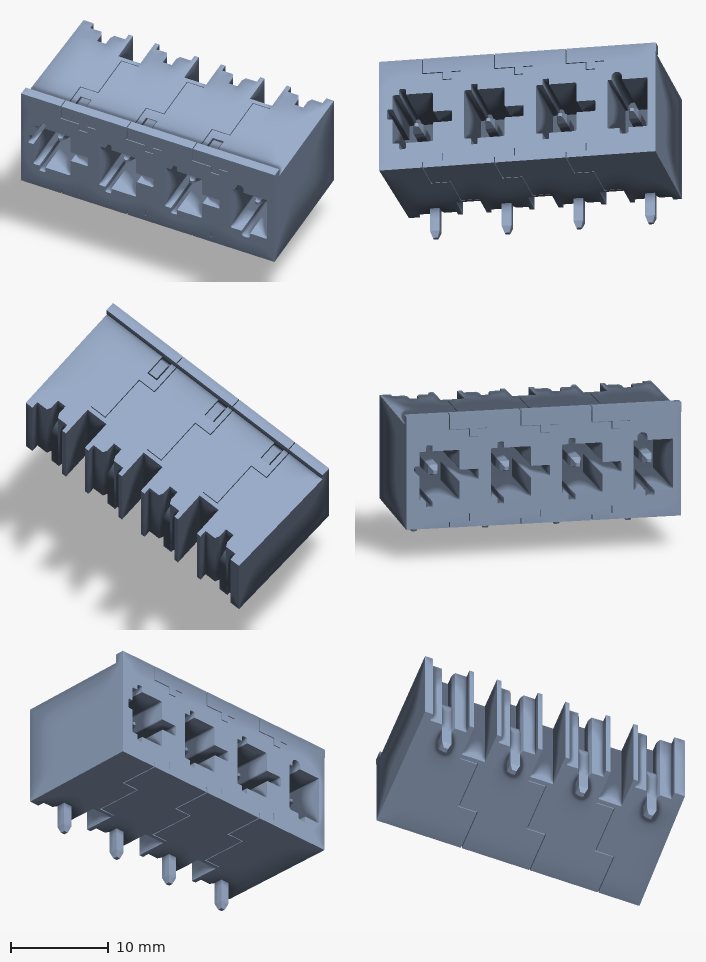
import cadquery as cq
LENGTH = 28.9
MODULES = 4
CONTACT_X = 3.5
LAST_CONTACT_X = 25.98
PITCH = (LAST_CONTACT_X - CONTACT_X) / (MODULES - 1)
DEPTH = 14.0
BODY_HEIGHT = 10.92
FLANGE_HEIGHT = 11.95
FLANGE_DEPTH = 1.05
END_SETBACK = 0.043
END_TAPER = 0.35
SPLIT_X = 8.5

TONGUE_X = 4.6
TONGUE_STEP_X = 6.62
TONGUE_STEP_Y = 4.55
TONGUE_BACK_Y = 9.97
TOP_TONGUE_Z = 10.35
LOW_TONGUE_Z = 0.6
END_GAP = 0.1
GAP = 0.1
KEY_X0, KEY_X1 = 6.68, 7.55
KEY_HEIGHT = 0.8

WINDOW_X0, WINDOW_X1 = 5.17, 6.45
WINDOW_BACK_Y = 3.27
LAST_WINDOW_BACK_Y = 3.45
LATCH_X0, LATCH_X1 = 5.35, 6.35
LATCH_Y0, LATCH_Y1 = 1.35, 3.27
LATCH_TOP_Z = 10.85

NOTCH_X0 = 5.98
NOTCH_Y = 10.52
RECESS_WIDTH = 4.0
RECESS_DEPTH = 0.8
FUNNEL_WIDTH = 1.47

PIN_SIZE = 1.0
PIN_LEG_Y = 12.2
PIN_Z = 5.45
PIN_FRONT_Y = 1.97
PIN_BOTTOM_Z = -3.15
BEND_RADIUS = 1.6
TIP_LENGTH = 1.15
TIP_WIDTH, TIP_HEIGHT = 0.45, 0.35
NOSE_RISE = 0.15
LEG_TIP_LENGTH = 0.7
LEG_TIP_SIZE = 0.5

CAVITY_DEPTH = 8.95
CAVITY_X0, CAVITY_X1 = 1.4, 5.6
CAVITY_Z0, CAVITY_Z1 = 2.83, 8.15
CORNER_RADIUS = 0.15
LAST_CAVITY_X0, LAST_CAVITY_X1 = 1.4, 5.55
LAST_CAVITY_DRAFT = 0.1
TOP_GROOVE = (2.08, 2.77, 7.22, 8.8)
BOTTOM_GROOVE = (2.08, 2.77, 2.17, 3.75)
SIDE_GROOVE = (0.8, 2.3, 5.52, 6.62)
KEY_GROOVE = (4.34, 7.6, 4.88, 6.07)
LAST_TOP_GROOVE = (1.8, 2.85, 7.22, 9.0)
LAST_BOTTOM_GROOVE = (2.63, 3.58, 2.17, 3.75)
LAST_TOP_GROOVE_RADIUS = 0.5
LAST_BOTTOM_GROOVE_RADIUS = 0.3
BOSS_BASE_RADIUS = 1.53
BOSS_TIP_RADIUS = 1.35
BOSS_LENGTH = 2.0


def box(x0, x1, y0, y1, z0, z1):
    """Axis-aligned block between the given limits."""
    return cq.Workplane("XY").box(x1 - x0, y1 - y0, z1 - z0, centered=False).translate((x0, y0, z0))


def tongue_layer(z0, z1, end_gap=0.0, gap=0.0):
    """Stepped tongue in plan, grown by the clearances to make the space for it."""
    front_x = TONGUE_X - end_gap
    step_x = TONGUE_STEP_X - gap
    step_y = TONGUE_STEP_Y + gap
    back_y = TONGUE_BACK_Y + gap
    outline = [
        (front_x, 0), (SPLIT_X, 0), (SPLIT_X, back_y), (step_x, back_y), (step_x, step_y), (front_x, step_y),
    ]
    return cq.Workplane("XY").workplane(offset=z0).polyline(outline).close().extrude(z1 - z0)


def tongue_key(z0, z1, gap=0.0):
    """Rib along a tongue that hooks into the neighbouring module."""
    return box(KEY_X0 - gap, KEY_X1, 0, TONGUE_BACK_Y + gap, z0, z1)


def tongues():
    """Upper and lower tongues with their keys, placed for the module on their left."""
    upper = tongue_layer(TOP_TONGUE_Z, BODY_HEIGHT)
    upper = upper.union(box(TONGUE_X, SPLIT_X, 0, FLANGE_DEPTH, TOP_TONGUE_Z, FLANGE_HEIGHT))
    upper = upper.union(tongue_key(TOP_TONGUE_Z - KEY_HEIGHT, TOP_TONGUE_Z))
    lower = tongue_layer(0, LOW_TONGUE_Z)
    lower = lower.union(tongue_key(LOW_TONGUE_Z, LOW_TONGUE_Z + KEY_HEIGHT))
    return upper, lower


def tongue_space():
    """Space that a module leaves free for the tongues of the next one."""
    shelf_z = TOP_TONGUE_Z - GAP
    space = tongue_layer(shelf_z, FLANGE_HEIGHT, END_GAP, GAP)
    space = space.union(tongue_key(shelf_z - KEY_HEIGHT, shelf_z, GAP))
    space = space.union(tongue_layer(0, LOW_TONGUE_Z, END_GAP, GAP))
    return space.union(tongue_key(LOW_TONGUE_Z, LOW_TONGUE_Z + KEY_HEIGHT, GAP))


def groove(limits, radius):
    """Coding groove with rounded edges along Y."""
    x0, x1, z0, z1 = limits
    return box(x0, x1, 0, CAVITY_DEPTH, z0, z1).edges("|Y").fillet(radius)


def plain_cavity(has_side_groove):
    """Straight cavity with coding grooves, for every module but the last."""
    cavity = groove((CAVITY_X0, CAVITY_X1, CAVITY_Z0, CAVITY_Z1), CORNER_RADIUS)
    for limits in (TOP_GROOVE, BOTTOM_GROOVE, KEY_GROOVE):
        cavity = cavity.union(groove(limits, CORNER_RADIUS))
    if has_side_groove:
        cavity = cavity.union(groove(SIDE_GROOVE, CORNER_RADIUS))
    key_z0, key_z1 = KEY_GROOVE[2:]
    key_mouth = cq.selectors.BoxSelector(
        (CAVITY_X1 - CORNER_RADIUS, 0, key_z0 - CORNER_RADIUS),
        (CAVITY_X1 + CORNER_RADIUS, CAVITY_DEPTH, key_z1 + CORNER_RADIUS),
    )
    return cavity.edges("|Y").edges(key_mouth).fillet(CORNER_RADIUS)


def last_cavity():
    """Cavity whose sides and floor draw in towards the back."""
    width = LAST_CAVITY_X1 - LAST_CAVITY_X0
    height = CAVITY_Z1 - CAVITY_Z0
    middle_x = (LAST_CAVITY_X0 + LAST_CAVITY_X1) / 2
    middle_z = (CAVITY_Z0 + CAVITY_Z1) / 2
    cavity = (
        cq.Workplane("XZ").center(middle_x, middle_z).rect(width, height)
        .workplane(offset=-CAVITY_DEPTH).center(0, LAST_CAVITY_DRAFT / 2)
        .rect(width - 2 * LAST_CAVITY_DRAFT, height - LAST_CAVITY_DRAFT).loft(ruled=True)
    )
    for side_x in (LAST_CAVITY_X0, LAST_CAVITY_X1):
        floor_corner = cq.selectors.NearestToPointSelector((side_x, CAVITY_DEPTH / 2, CAVITY_Z0))
        cavity = cavity.edges(floor_corner).fillet(CORNER_RADIUS)
    cavity = cavity.union(groove(LAST_TOP_GROOVE, LAST_TOP_GROOVE_RADIUS))
    return cavity.union(groove(LAST_BOTTOM_GROOVE, LAST_BOTTOM_GROOVE_RADIUS))


def boss():
    """Tapered boss standing on the cavity floor."""
    return (
        cq.Workplane("XZ", origin=(CONTACT_X, CAVITY_DEPTH, PIN_Z)).circle(BOSS_BASE_RADIUS)
        .workplane(offset=BOSS_LENGTH).circle(BOSS_TIP_RADIUS).loft()
    )


def back_recess():
    """Shallow recess with a funnel and a slot that takes the pin leg."""
    floor_y = DEPTH - RECESS_DEPTH
    half_recess = RECESS_WIDTH / 2
    half_funnel = FUNNEL_WIDTH / 2
    half_pin = PIN_SIZE / 2
    leg_back_y = PIN_LEG_Y + half_pin
    leg_front_y = PIN_LEG_Y - half_pin
    right_side = [
        (half_recess, DEPTH), (half_recess, floor_y), (half_funnel, floor_y),
        (half_pin, leg_back_y), (half_pin, leg_front_y),
    ]
    left_side = [(-x, y) for x, y in reversed(right_side)]
    outline = [(CONTACT_X + x, y) for x, y in right_side + left_side]
    return cq.Workplane("XY").polyline(outline).close().extrude(BODY_HEIGHT)


def pin():
    """Bent square pin with a pointed contact end and a pointed leg."""
    half = PIN_SIZE / 2
    top_z = PIN_Z + half
    low_z = PIN_Z - half
    back_y = PIN_LEG_Y + half
    inner_y = PIN_LEG_Y - half
    bar_y = PIN_FRONT_Y + TIP_LENGTH
    leg_z = PIN_BOTTOM_Z + LEG_TIP_LENGTH
    bend_y = back_y - BEND_RADIUS
    bend_z = top_z - BEND_RADIUS
    inner_radius = BEND_RADIUS - PIN_SIZE
    bar = (
        cq.Workplane("YZ", origin=(CONTACT_X - half, 0, 0))
        .moveTo(bar_y, top_z).lineTo(bend_y, top_z)
        .radiusArc((back_y, bend_z), BEND_RADIUS).lineTo(back_y, leg_z).lineTo(inner_y, leg_z)
        .lineTo(inner_y, bend_z).radiusArc((bend_y, low_z), -inner_radius).lineTo(bar_y, low_z)
        .close().extrude(PIN_SIZE)
    )
    contact_tip = (
        cq.Workplane("XZ", origin=(CONTACT_X, bar_y, PIN_Z)).rect(PIN_SIZE, PIN_SIZE)
        .workplane(offset=TIP_LENGTH).rect(TIP_WIDTH, TIP_HEIGHT).loft(ruled=True)
    )
    leg_tip = (
        cq.Workplane("XY", origin=(CONTACT_X, PIN_LEG_Y, leg_z)).rect(PIN_SIZE, PIN_SIZE)
        .workplane(offset=-LEG_TIP_LENGTH).rect(LEG_TIP_SIZE, LEG_TIP_SIZE).loft(ruled=True)
    )
    nose = (
        cq.Workplane("XY", origin=(CONTACT_X, PIN_FRONT_Y, PIN_Z - TIP_HEIGHT / 2))
        .moveTo(-TIP_WIDTH / 2, 0).threePointArc((0, -NOSE_RISE), (TIP_WIDTH / 2, 0))
        .close().extrude(TIP_HEIGHT)
    )
    return bar.union(contact_tip).union(nose).union(leg_tip)


def housing(index):
    """Housing module at the given place in the row, in coordinates of that place."""
    is_first = index == 0
    is_last = index == MODULES - 1
    left_x = 0 if is_first else SPLIT_X - PITCH
    right_x = LENGTH - PITCH * index if is_last else SPLIT_X
    side_x = right_x - END_SETBACK if is_last else right_x
    body = box(left_x, side_x, 0, DEPTH, 0, BODY_HEIGHT)
    body = body.union(box(left_x, right_x, 0, FLANGE_DEPTH, BODY_HEIGHT, FLANGE_HEIGHT))

    if is_first:
        wedge = [(0, 0), (END_TAPER, DEPTH), (0, DEPTH)]
        body = body.cut(cq.Workplane("XY").polyline(wedge).close().extrude(FLANGE_HEIGHT))
    else:
        window_back_y = LAST_WINDOW_BACK_Y if is_last else WINDOW_BACK_Y
        window = box(WINDOW_X0, WINDOW_X1, FLANGE_DEPTH, window_back_y, TOP_TONGUE_Z, BODY_HEIGHT)
        upper, lower = tongues()
        for tongue in (upper.cut(window), lower):
            body = body.union(tongue.translate((-PITCH, 0, 0)))

    if not is_last:
        body = body.cut(tongue_space())
        body = body.cut(box(NOTCH_X0, SPLIT_X, NOTCH_Y, DEPTH, 0, BODY_HEIGHT))
        body = body.union(box(LATCH_X0, LATCH_X1, LATCH_Y0, LATCH_Y1, TOP_TONGUE_Z - GAP, LATCH_TOP_Z))

    cavity = last_cavity() if is_last else plain_cavity(is_first)
    body = body.cut(cavity.cut(boss()))
    return body.cut(back_recess()).cut(pin())


housings = []
pins = []
for place in range(MODULES):
    shift = (PITCH * place, 0, 0)
    housings.append(housing(place).translate(shift).solids().val())
    pins.append(pin().translate(shift).solids().val())

result = cq.Compound.makeCompound([*housings, *pins])